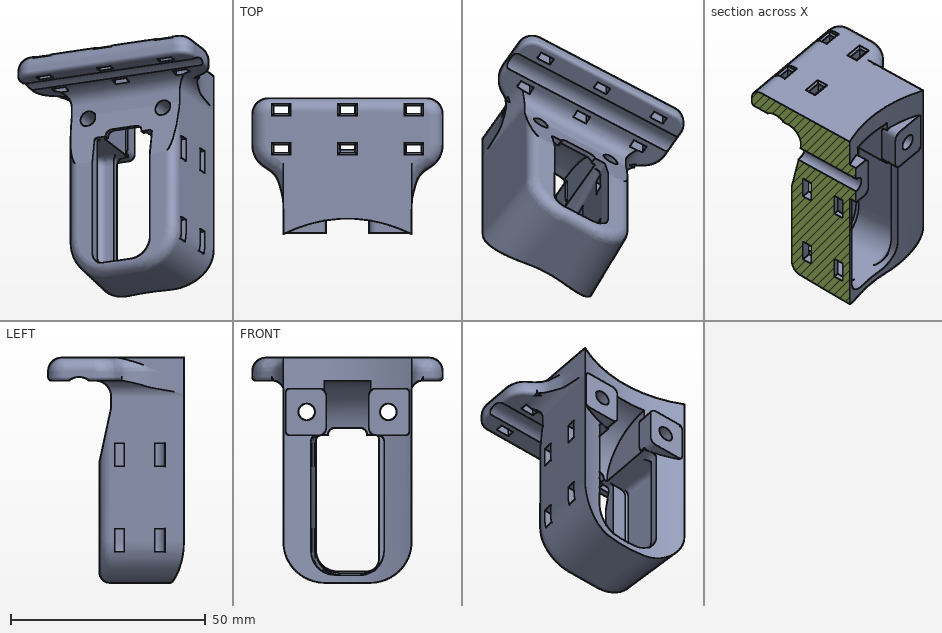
import cadquery as cq
import math

HEIGHT = 58.0
BODY_WIDTH = 33.0
SIDE_DRAFT = 4.0
BODY_DEPTH = 21.8
BODY_CORNER_R = 10.5
BACK_EDGE_R = 2.8
NECK_DEPTH = 18.8
SLOPE_BOTTOM_Z = 31.0
SLOPE_TOP_Z = 45.0
FRONT_HOLLOW = 4.0

FLANGE_WIDTH = 49.0
FLANGE_BACK = 35.0
FLANGE_THICKNESS = 6.0
FLANGE_CORNER_R = 4.1
FLANGE_SIDE_FRONT = 22.9
FLANGE_SIDE_R = 6.5
FLANGE_SIDE_TURN = 50.0
FLANGE_WAIST = [(-18.75, 15.3), (-17.05, 11.0)]
FLANGE_WAIST_BACK = 16.0
FLANGE_MERGE = 5.8
FLANGE_TOP_R = 3.6
FLANGE_BOTTOM_R = 1.0
COVE_R = 4.0

CABLE_D = 8.0
CABLE_SEAT_DEPTH = 0.95
CABLE_Y = 27.0
SIDE_TIE_SPACING = 10.4
FLANGE_TIE_SPACING = 10.0
FLANGE_SLOT = (3.8, 2.0)
FLANGE_SLOT_PITCH = 17.0
SLOT_CHAMFER = 0.55
BACK_MOUTH_DROP = 0.9
SIDE_SLOT_WIDTH = 2.55
SIDE_SLOT_HEIGHT = 6.0
SIDE_SLOT_Y = 11.4
SIDE_SLOT_ROWS = (11.0, 33.0)

WINDOW_HALF = 9.4
WINDOW_FLOOR = 2.05
WINDOW_TOP = 38.0
WINDOW_R = 6.3
LIP_BACK = 4.9
LIP_FILLET = 2.0
POCKET_BACK = 18.65
POCKET_RIGHT = 12.5
POCKET_R = 8.1
POCKET_CHAMFER = 0.5
BACK_HALF = 8.05
BACK_FLOOR = 3.05
BACK_LEFT_R = 5.3
BACK_RIGHT_R = 3.0
BACK_TOP_R = 0.8
TOP_R = 1.5

CHANNEL_WIDTH = 12.0
CHANNEL_TOP = 52.0
NOTCH_WIDTH = 10.0
NOTCH_TOP = 39.85
NOTCH_R = 1.7

PAD_FRONT = 0.3
PAD_INNER = 5.5
PAD_OUTER = 15.9
PAD_HEIGHT = 12.0
PAD_INNER_R = 1.8
PAD_OUTER_R = 1.0
SCREW_D = 4.2
SCREW_X = 10.5

OVERCUT = 1.0

half_body = BODY_WIDTH / 2
side_taper = math.tan(math.radians(SIDE_DRAFT))
half_flange = FLANGE_WIDTH / 2
flange_bottom = HEIGHT - FLANGE_THICKNESS
pad_middle_z = WINDOW_TOP + PAD_HEIGHT / 2
pocket_taper = (WINDOW_HALF - BACK_HALF) / (POCKET_BACK - LIP_BACK)


def facing_front(y):
    """Workplane at depth y with local x = X and local y = Z; its normal points to -Y."""
    return cq.Workplane(cq.Plane(origin=(0, y, 0), xDir=(1, 0, 0), normal=(0, -1, 0)))


def box_between(x0, x1, y0, y1, z0, z1):
    return cq.Workplane("XY").box(x1 - x0, y1 - y0, z1 - z0, centered=False).translate((x0, y0, z0))


def opening_wire(plane, left, right, floor, top, left_r, right_r, top_r):
    """Rectangle with separate radii for its lower left, lower right and upper corners."""
    k = 1 - math.sqrt(0.5)
    return (
        plane.moveTo(left + left_r, floor)
        .lineTo(right - right_r, floor)
        .threePointArc((right - right_r * k, floor + right_r * k), (right, floor + right_r))
        .lineTo(right, top - top_r)
        .threePointArc((right - top_r * k, top - top_r * k), (right - top_r, top))
        .lineTo(left + top_r, top)
        .threePointArc((left + top_r * k, top - top_r * k), (left, top - top_r))
        .lineTo(left, floor + left_r)
        .threePointArc((left + left_r * k, floor + left_r * k), (left + left_r, floor))
        .close()
    )


def drafted_block(depth, bottom, top):
    """Block whose left and right sides close in towards the back."""
    half_back = half_body - side_taper * depth
    outline = [(-half_body, 0), (half_body, 0), (half_back, depth), (-half_back, depth)]
    return cq.Workplane("XY", origin=(0, 0, bottom)).polyline(outline).close().extrude(top - bottom)


def make_body():
    body = drafted_block(BODY_DEPTH, 0, flange_bottom)
    body = body.faces("<Z").edges("not |X").fillet(BODY_CORNER_R)
    body = body.faces(">Y").edges("not >Z").fillet(BACK_EDGE_R)
    back_relief = (
        cq.Workplane("YZ")
        .moveTo(BODY_DEPTH, SLOPE_BOTTOM_Z)
        .lineTo(NECK_DEPTH, SLOPE_TOP_Z)
        .lineTo(NECK_DEPTH, HEIGHT + OVERCUT)
        .lineTo(BODY_DEPTH + OVERCUT, HEIGHT + OVERCUT)
        .lineTo(BODY_DEPTH + OVERCUT, SLOPE_BOTTOM_Z)
        .close()
        .extrude(BODY_WIDTH, both=True)
    )
    return body.cut(back_relief)


def flange_outline(z):
    """Plan outline of the flange, narrowing in an S curve down to the body width."""
    turn = math.radians(FLANGE_SIDE_TURN)
    centre_x = -half_flange + FLANGE_SIDE_R
    middle = (
        centre_x - FLANGE_SIDE_R * math.cos(turn / 2),
        FLANGE_SIDE_FRONT - FLANGE_SIDE_R * math.sin(turn / 2),
    )
    end = (
        centre_x - FLANGE_SIDE_R * math.cos(turn),
        FLANGE_SIDE_FRONT - FLANGE_SIDE_R * math.sin(turn),
    )
    return (
        cq.Workplane("XY", origin=(0, 0, z))
        .moveTo(0, FLANGE_BACK)
        .lineTo(-half_flange, FLANGE_BACK)
        .lineTo(-half_flange, FLANGE_SIDE_FRONT)
        .threePointArc(middle, end)
        .spline(
            [*FLANGE_WAIST, (-half_body, FLANGE_MERGE)],
            tangents=[(math.sin(turn), -math.cos(turn)), (0, -1)],
            includeCurrent=True,
        )
        .lineTo(0, FLANGE_MERGE)
        .mirrorY()
    )


def make_flange():
    flange = flange_outline(flange_bottom).extrude(FLANGE_THICKNESS)
    flange = flange.edges("|Z and >Y").fillet(FLANGE_CORNER_R)
    flange = flange.faces(">Z").edges("not <Y").fillet(FLANGE_TOP_R)
    return flange.faces("<Z").edges("not <Y").fillet(FLANGE_BOTTOM_R)


def make_head():
    """Block joining body and flange, with a concave fillet under the flange on three sides.

    Below the flange the fillet is trimmed to the flange outline and the width of the block.
    """
    fillet_bottom = flange_bottom - COVE_R
    neck = drafted_block(NECK_DEPTH, fillet_bottom - COVE_R, flange_bottom)
    plate = box_between(-half_flange, half_flange, 0, FLANGE_BACK, flange_bottom, HEIGHT)
    junction = cq.selectors.BoxSelector(
        (-half_body - 1, 0.1, flange_bottom - 1), (half_body + 1, NECK_DEPTH + 1, flange_bottom + 1)
    )
    tee = neck.union(plate).edges(junction).fillet(COVE_R)

    trim_bottom = fillet_bottom - OVERCUT
    block = box_between(-half_body, half_body, -OVERCUT, NECK_DEPTH, trim_bottom, HEIGHT + OVERCUT)
    waist = flange_outline(trim_bottom).extrude(COVE_R + OVERCUT + FLANGE_BOTTOM_R).intersect(
        box_between(-half_flange, half_flange, 0, FLANGE_WAIST_BACK, trim_bottom, HEIGHT)
    )
    trim = flange_outline(trim_bottom).extrude(COVE_R + OVERCUT).union(waist).union(block)
    return tee.intersect(trim)


def make_pad(side):
    """Flat screw pad on the concave front; side is -1 for left and 1 for right."""
    inner = side * PAD_INNER
    outer = side * PAD_OUTER
    top = WINDOW_TOP + PAD_HEIGHT
    pad = box_between(min(inner, outer), max(inner, outer), PAD_FRONT, LIP_BACK, WINDOW_TOP, top)
    inner_side, outer_side = ("<X", ">X") if side > 0 else (">X", "<X")
    pad = pad.faces(inner_side).edges("|Y").fillet(PAD_INNER_R)
    return pad.faces(outer_side).edges("|Y").fillet(PAD_OUTER_R)


def front_hollow():
    radius = (half_body**2 + FRONT_HOLLOW**2) / (2 * FRONT_HOLLOW)
    return cq.Workplane("XY").center(0, FRONT_HOLLOW - radius).circle(radius).extrude(HEIGHT)


def window():
    """Opening through the front lip."""
    outline = opening_wire(
        facing_front(-OVERCUT),
        -WINDOW_HALF, WINDOW_HALF, WINDOW_FLOOR, WINDOW_TOP, WINDOW_R, WINDOW_R, TOP_R,
    )
    return outline.extrude(-(LIP_BACK + OVERCUT))


def loft_between(front, back):
    return cq.Workplane(cq.Solid.makeLoft([front.val(), back.val()], True))


def left_wall(y):
    """X of the left inner wall at depth y; it closes in towards the back."""
    return -BACK_HALF - pocket_taper * (POCKET_BACK - y)


def window_section(y):
    outline = opening_wire(
        facing_front(y), left_wall(y), WINDOW_HALF, WINDOW_FLOOR, WINDOW_TOP, WINDOW_R, WINDOW_R, TOP_R
    )
    return outline.wire()


def pocket_section(y, inset=0.0):
    """Pocket outline at depth y, its right wall mirroring the taper of the left wall."""
    right = POCKET_RIGHT + pocket_taper * (POCKET_BACK - y) - inset
    floor = WINDOW_FLOOR + inset
    outline = opening_wire(
        facing_front(y), left_wall(y), right, floor, WINDOW_TOP, WINDOW_R, POCKET_R, TOP_R
    )
    return outline.wire()


def pocket():
    """Inside of the window behind the lip, with a pocket undercut to the right only."""
    chamfer_start = POCKET_BACK - POCKET_CHAMFER
    undercut = loft_between(pocket_section(LIP_BACK), pocket_section(chamfer_start))
    undercut = undercut.faces("<Y").edges().fillet(LIP_FILLET)
    chamfer = loft_between(pocket_section(chamfer_start), pocket_section(POCKET_BACK, POCKET_CHAMFER))
    straight = loft_between(window_section(LIP_BACK), window_section(chamfer_start))
    return undercut.union(chamfer).union(straight)


def back_opening():
    depth = BODY_DEPTH - NECK_DEPTH + 2 * OVERCUT
    start = POCKET_BACK - OVERCUT
    opening = opening_wire(
        facing_front(start),
        -BACK_HALF, BACK_HALF, BACK_FLOOR, WINDOW_TOP, BACK_LEFT_R, BACK_RIGHT_R, BACK_TOP_R,
    ).extrude(-(depth + OVERCUT))
    half_notch = NOTCH_WIDTH / 2
    notch = box_between(
        -half_notch, half_notch, start, start + depth + OVERCUT, WINDOW_TOP - OVERCUT, NOTCH_TOP
    )
    return opening.union(notch.edges("|Y and >Z").fillet(NOTCH_R))


def channel():
    """Channel between the pads; its ceiling curves down to the notch in the back wall."""
    run = POCKET_BACK - FRONT_HOLLOW
    drop = CHANNEL_TOP - NOTCH_TOP
    return (
        cq.Workplane("YZ")
        .moveTo(-OVERCUT, WINDOW_TOP - TOP_R)
        .lineTo(-OVERCUT, CHANNEL_TOP)
        .lineTo(FRONT_HOLLOW, CHANNEL_TOP)
        .tangentArcPoint((run, -drop))
        .lineTo(POCKET_BACK, WINDOW_TOP - TOP_R)
        .close()
        .extrude(CHANNEL_WIDTH / 2, both=True)
    )


def screw_holes():
    return (
        facing_front(-OVERCUT)
        .pushPoints([(-SCREW_X, pad_middle_z), (SCREW_X, pad_middle_z)])
        .circle(SCREW_D / 2)
        .extrude(-(BODY_DEPTH + 2 * OVERCUT))
    )


def side_slots():
    """Cable tie slots through the left wall into the window and pocket."""
    points = [
        (SIDE_SLOT_Y + column * SIDE_TIE_SPACING / 2, row) for column in (-1, 1) for row in SIDE_SLOT_ROWS
    ]
    return (
        cq.Workplane("YZ", origin=(-half_body - OVERCUT, 0, 0))
        .pushPoints(points)
        .rect(SIDE_SLOT_WIDTH, SIDE_SLOT_HEIGHT)
        .extrude(half_body + OVERCUT)
    )


def flange_slots():
    """Cable tie slots down through the flange, each with a chamfered mouth."""
    length, width = FLANGE_SLOT
    mouth_length = length + 2 * SLOT_CHAMFER
    mouth_width = width + 2 * SLOT_CHAMFER
    slots = cq.Workplane("XY")
    for row, mouth_drop in ((-1, 0.0), (1, BACK_MOUTH_DROP)):
        mouth_z = HEIGHT - mouth_drop
        points = [
            (column * FLANGE_SLOT_PITCH, CABLE_Y + row * FLANGE_TIE_SPACING / 2) for column in (-1, 0, 1)
        ]
        mouth = cq.Workplane("XY", origin=(0, 0, mouth_z)).pushPoints(points)
        bottom = cq.Workplane("XY", origin=(0, 0, flange_bottom - COVE_R)).pushPoints(points)
        slots = slots.add(bottom.rect(length, width).extrude(FLANGE_THICKNESS + COVE_R))
        slots = slots.add(mouth.rect(mouth_length, mouth_width).extrude(-SLOT_CHAMFER, taper=45))
        slots = slots.add(mouth.rect(mouth_length, mouth_width).extrude(OVERCUT))
    return slots.combine()


def cable_seat():
    """Groove along the flange underside that locates a cable."""
    centre_z = flange_bottom + CABLE_SEAT_DEPTH - CABLE_D / 2
    return (
        cq.Workplane("YZ").center(CABLE_Y, centre_z).circle(CABLE_D / 2).extrude(half_flange, both=True)
    )


result = make_body().union(make_flange()).union(make_head())
result = result.cut(front_hollow()).cut(channel()).union(make_pad(-1)).union(make_pad(1))
for cutter in (
    window(), pocket(), back_opening(), screw_holes(), side_slots(), flange_slots(), cable_seat()
):
    result = result.cut(cutter)